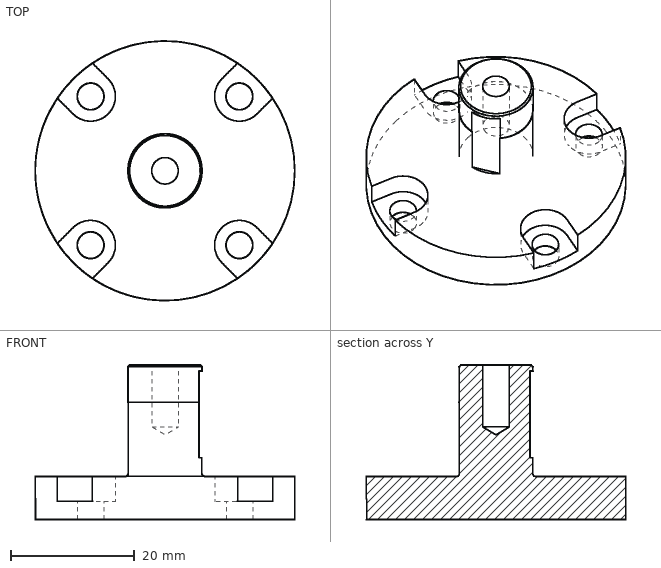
import cadquery as cq
import math

flange_diameter = 41.95
flange_thickness = 7.0
total_height = 25.0

bolt_circle_radius = 17.0
hole_diameter = 4.3
pocket_width = 8.0
pocket_depth = 4.0
bolt_count = 4
first_bolt_angle = 45.0

shank_diameter = 11.9
head_diameter = 12.0
head_length = 6.0
head_chamfer = 0.3
root_fillet = 0.5

flat_offset = 5.5
flat_top_gap = 1.0
flat_length = 13.97

drill_diameter = 4.3
drill_depth = 10.0
drill_point_angle = 118.0


def make_flange():
    return cq.Workplane("XY").circle(flange_diameter / 2).extrude(flange_thickness)


def make_pin():
    """Revolve the pin with its concave root fillet and chamfered end."""
    shank_radius = shank_diameter / 2
    head_radius = head_diameter / 2
    head_base = total_height - head_length
    arc_middle = root_fillet * (1 - math.sqrt(0.5))
    profile = (
        cq.Workplane("XZ")
        .lineTo(shank_radius + root_fillet, 0)
        .lineTo(shank_radius + root_fillet, flange_thickness)
        .threePointArc(
            (shank_radius + arc_middle, flange_thickness + arc_middle),
            (shank_radius, flange_thickness + root_fillet),
        )
        .lineTo(shank_radius, head_base)
        .lineTo(head_radius, head_base)
        .lineTo(head_radius, total_height - head_chamfer)
        .lineTo(head_radius - head_chamfer, total_height)
        .lineTo(0, total_height)
        .close()
    )
    return profile.revolve(360, (0, 0, 0), (0, 1, 0))


def make_bolt_cut(angle):
    """Through hole plus a round-ended pocket running out through the rim."""
    hole = cq.Workplane("XY").center(bolt_circle_radius, 0).circle(hole_diameter / 2).extrude(flange_thickness)
    pocket_floor = cq.Workplane("XY").workplane(offset=flange_thickness - pocket_depth)
    round_end = pocket_floor.center(bolt_circle_radius, 0).circle(pocket_width / 2).extrude(pocket_depth)
    run_out = (
        pocket_floor.center(bolt_circle_radius, 0)
        .rect(flange_diameter, pocket_width)
        .extrude(pocket_depth)
        .translate((flange_diameter / 2, 0, 0))
    )
    return hole.union(round_end).union(run_out).rotate((0, 0, 0), (0, 0, 1), angle)


def make_flat_cut():
    flat_top = total_height - flat_top_gap
    return cq.Workplane("XY").box(
        head_diameter, head_diameter, flat_length, centered=(False, True, False)
    ).translate((flat_offset, 0, flat_top - flat_length))


def make_drill_cut():
    """Straight bore ending in a conical drill point."""
    radius = drill_diameter / 2
    shoulder = total_height - drill_depth
    point_length = radius / math.tan(math.radians(drill_point_angle / 2))
    profile = cq.Workplane("XZ").polyline([
        (0, total_height),
        (radius, total_height),
        (radius, shoulder),
        (0, shoulder - point_length),
    ]).close()
    return profile.revolve(360, (0, 0, 0), (0, 1, 0))


result = make_flange().union(make_pin())
for index in range(bolt_count):
    result = result.cut(make_bolt_cut(first_bolt_angle + index * 360 / bolt_count))
result = result.cut(make_flat_cut()).cut(make_drill_cut())